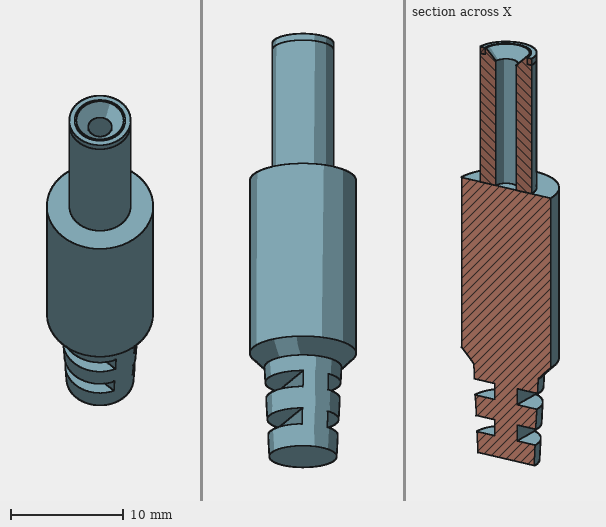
import cadquery as cq

total_height = 38.9
housing_top = 26.0
grip_bottom = 9.72
tail_top = 8.4

grip_diameter = 9.5
tail_top_diameter = 6.9
tail_bottom_diameter = 6.03

slot_height = 1.48
slot_bottoms = (2.02, 5.5)
web_thickness = 2.4

barrel_diameter = 5.5
neck_diameter = 4.5
ring_height = 0.62
neck_bottom = total_height - ring_height

funnel_diameter = 4.2
funnel_depth = 1.0
bore_diameter = 2.1


def revolve_profile(points):
    """Revolve a closed (radius, height) outline about the Z axis."""
    return cq.Workplane("XZ").polyline(points).close().revolve(360, (0, 0, 0), (0, 1, 0))


def make_tail_slot(side, bottom):
    """Cutter for one slot, on the +Y (side = 1) or -Y (side = -1) side of the web."""
    slot_depth = (grip_diameter - web_thickness) / 2
    center_y = side * (web_thickness + slot_depth) / 2
    return (
        cq.Workplane("XY", origin=(0, center_y, bottom))
        .box(grip_diameter, slot_depth, slot_height, centered=(True, True, False))
    )


def make_housing():
    housing = revolve_profile([
        (0, 0),
        (tail_bottom_diameter / 2, 0),
        (tail_top_diameter / 2, tail_top),
        (grip_diameter / 2, grip_bottom),
        (grip_diameter / 2, housing_top),
        (0, housing_top),
    ])
    for bottom in slot_bottoms:
        for side in (-1, 1):
            housing = housing.cut(make_tail_slot(side, bottom))
    return housing


def make_barrel():
    """Hollow barrel standing on the housing, with a reduced neck and a funnel mouth."""
    return revolve_profile([
        (bore_diameter / 2, housing_top),
        (barrel_diameter / 2, housing_top),
        (barrel_diameter / 2, neck_bottom),
        (neck_diameter / 2, neck_bottom),
        (neck_diameter / 2, total_height),
        (funnel_diameter / 2, total_height),
        (bore_diameter / 2, total_height - funnel_depth),
    ])


def make_tip_ring():
    """Ring around the barrel neck, flush with the barrel's side and end."""
    return (
        cq.Workplane("XY", origin=(0, 0, neck_bottom))
        .circle(barrel_diameter / 2)
        .circle(neck_diameter / 2)
        .extrude(ring_height)
    )


housing = make_housing()
barrel = make_barrel()
tip_ring = make_tip_ring()

result = cq.Compound.makeCompound([housing.val(), barrel.val(), tip_ring.val()])